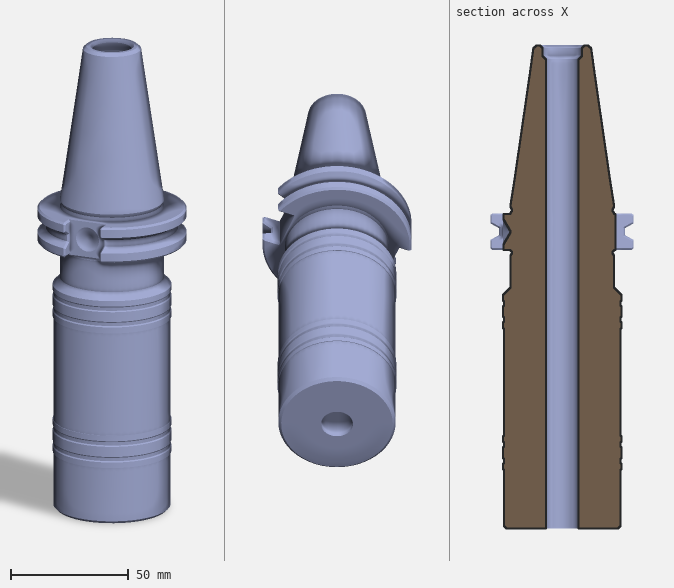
import cadquery as cq
import math

TOTAL_LENGTH = 205.6

GAUGE_Z = 137.2
GAUGE_RADIUS = 22.2
TAPER_RATIO = 7 / 24
TIP_CHAMFER_HEIGHT = 1.2
TIP_CHAMFER_WIDTH = 1.5

FLANGE_RADIUS = 63.5 / 2
FLANGE_TOP_Z = 134.0
FLANGE_BOTTOM_Z = 118.5
RIM_CHAMFER = 0.8
V_CENTER_Z = 126.3
V_FLOOR_RADIUS = 28.2
V_FLOOR_HEIGHT = 2.9
V_SIDE_ANGLE = 30

RELIEF_DEPTH = 0.8
UPPER_RELIEF_Z = 135.5
LOWER_RELIEF_Z = 117.5
LOWER_RELIEF_END_Z = 116.2

SLOT_WIDTH = 16.0
FRONT_SLOT_FLOOR = 25.0
BACK_SLOT_FLOOR = 22.8
SLOT_EDGE_CHAMFER = 0.8
DIMPLE_DIAMETER = 10.7
DIMPLE_POINT_ANGLE = 120

NECK_RADIUS = 22.2
SHOULDER_Z = 102.6
BODY_RADIUS = 50.0 / 2
BAND_RADIUS = 50.5 / 2
UPPER_BAND_BOTTOM_Z = 85.1
LOWER_BAND_TOP_Z = 39.5
LOWER_BAND_BOTTOM_Z = 25.0
BASE_CHAMFER = 1.2

RING_GROOVE_HEIGHTS = (95.8, 89.0, 35.8, 28.8)
RING_GROOVE_WIDTH = 2.5
RING_GROOVE_FLOOR_WIDTH = 1.5
RING_GROOVE_DEPTH = 0.5

BORE_DIAMETER = 13.5
MOUTH_DIAMETER = 16.5
MOUTH_CHAMFER = 1.2
MOUTH_DEPTH = 4.5


def taper_radius(z):
    return GAUGE_RADIUS - (z - GAUGE_Z) * TAPER_RATIO / 2


def revolve(points):
    """Turn a closed (radius, z) outline about the Z axis."""
    return cq.Workplane("XZ").polyline(points).close().revolve(360, (0, 0, 0), (0, 1, 0))


def make_shank():
    tip_edge_z = TOTAL_LENGTH - TIP_CHAMFER_HEIGHT
    tip_edge_radius = taper_radius(tip_edge_z)
    shoulder_height = BAND_RADIUS - NECK_RADIUS
    return revolve([
        (0, 0),
        (BODY_RADIUS - BASE_CHAMFER, 0),
        (BODY_RADIUS, BASE_CHAMFER),
        (BODY_RADIUS, LOWER_BAND_BOTTOM_Z),
        (BAND_RADIUS, LOWER_BAND_BOTTOM_Z),
        (BAND_RADIUS, LOWER_BAND_TOP_Z),
        (BODY_RADIUS, LOWER_BAND_TOP_Z),
        (BODY_RADIUS, UPPER_BAND_BOTTOM_Z),
        (BAND_RADIUS, UPPER_BAND_BOTTOM_Z),
        (BAND_RADIUS, SHOULDER_Z - shoulder_height),
        (NECK_RADIUS, SHOULDER_Z),
        (NECK_RADIUS, LOWER_RELIEF_END_Z),
        (NECK_RADIUS - RELIEF_DEPTH, LOWER_RELIEF_Z),
        (NECK_RADIUS, FLANGE_BOTTOM_Z),
        (NECK_RADIUS, FLANGE_TOP_Z),
        (GAUGE_RADIUS - RELIEF_DEPTH, UPPER_RELIEF_Z),
        (GAUGE_RADIUS, GAUGE_Z),
        (tip_edge_radius, tip_edge_z),
        (tip_edge_radius - TIP_CHAMFER_WIDTH, TOTAL_LENGTH),
        (0, TOTAL_LENGTH),
    ])


def make_flange():
    floor_half = V_FLOOR_HEIGHT / 2
    side_height = (FLANGE_RADIUS - V_FLOOR_RADIUS) * math.tan(math.radians(V_SIDE_ANGLE))
    mouth_half = floor_half + side_height
    flange = revolve([
        (0, FLANGE_BOTTOM_Z),
        (FLANGE_RADIUS - RIM_CHAMFER, FLANGE_BOTTOM_Z),
        (FLANGE_RADIUS, FLANGE_BOTTOM_Z + RIM_CHAMFER),
        (FLANGE_RADIUS, V_CENTER_Z - mouth_half),
        (V_FLOOR_RADIUS, V_CENTER_Z - floor_half),
        (V_FLOOR_RADIUS, V_CENTER_Z + floor_half),
        (FLANGE_RADIUS, V_CENTER_Z + mouth_half),
        (FLANGE_RADIUS, FLANGE_TOP_Z - RIM_CHAMFER),
        (FLANGE_RADIUS - RIM_CHAMFER, FLANGE_TOP_Z),
        (0, FLANGE_TOP_Z),
    ])
    for side, floor in ((-1, FRONT_SLOT_FLOOR), (1, BACK_SLOT_FLOOR)):
        flange = cut_drive_slot(flange, side, floor)
    return flange


def cut_drive_slot(flange, side, floor):
    """Cut one slot towards +Y (side 1) or -Y (side -1) and chamfer its wall edges."""
    slot = (
        cq.Workplane("XY", origin=(0, side * (floor + FLANGE_RADIUS / 2), FLANGE_BOTTOM_Z))
        .rect(SLOT_WIDTH, FLANGE_RADIUS)
        .extrude(FLANGE_TOP_Z - FLANGE_BOTTOM_Z)
    )
    flange = flange.cut(slot)
    tolerance = 0.02
    wall_edges = []
    for wall_x in (-SLOT_WIDTH / 2, SLOT_WIDTH / 2):
        for edge in flange.edges().vals():
            box = edge.BoundingBox()
            in_wall = abs(box.xmin - wall_x) < tolerance and abs(box.xmax - wall_x) < tolerance
            beyond_floor = side * edge.Center().y > floor + tolerance
            if in_wall and beyond_floor:
                wall_edges.append(edge)
    return flange.newObject(wall_edges).chamfer(SLOT_EDGE_CHAMFER)


def make_dimple():
    """Conical drill point sunk into the floor of the -Y slot."""
    radius = DIMPLE_DIAMETER / 2
    depth = radius / math.tan(math.radians(DIMPLE_POINT_ANGLE / 2))
    cone = cq.Solid.makeCone(
        radius, 0, depth, pnt=(0, -FRONT_SLOT_FLOOR, V_CENTER_Z), dir=(0, 1, 0)
    )
    return cq.Workplane(obj=cone)


def make_ring_groove(z):
    half_width = RING_GROOVE_WIDTH / 2
    half_floor = RING_GROOVE_FLOOR_WIDTH / 2
    floor_radius = BAND_RADIUS - RING_GROOVE_DEPTH
    outside_radius = BAND_RADIUS + RING_GROOVE_DEPTH
    return revolve([
        (outside_radius, z - half_width),
        (BAND_RADIUS, z - half_width),
        (floor_radius, z - half_floor),
        (floor_radius, z + half_floor),
        (BAND_RADIUS, z + half_width),
        (outside_radius, z + half_width),
    ])


def make_bore():
    bore_radius = BORE_DIAMETER / 2
    mouth_radius = MOUTH_DIAMETER / 2
    seat_top_z = TOTAL_LENGTH - MOUTH_DEPTH
    seat_height = mouth_radius - bore_radius
    return revolve([
        (0, 0),
        (bore_radius, 0),
        (bore_radius, seat_top_z - seat_height),
        (mouth_radius, seat_top_z),
        (mouth_radius, TOTAL_LENGTH - MOUTH_CHAMFER),
        (mouth_radius + MOUTH_CHAMFER, TOTAL_LENGTH),
        (0, TOTAL_LENGTH),
    ])


result = make_shank().union(make_flange()).cut(make_dimple()).cut(make_bore())
for groove_z in RING_GROOVE_HEIGHTS:
    result = result.cut(make_ring_groove(groove_z))